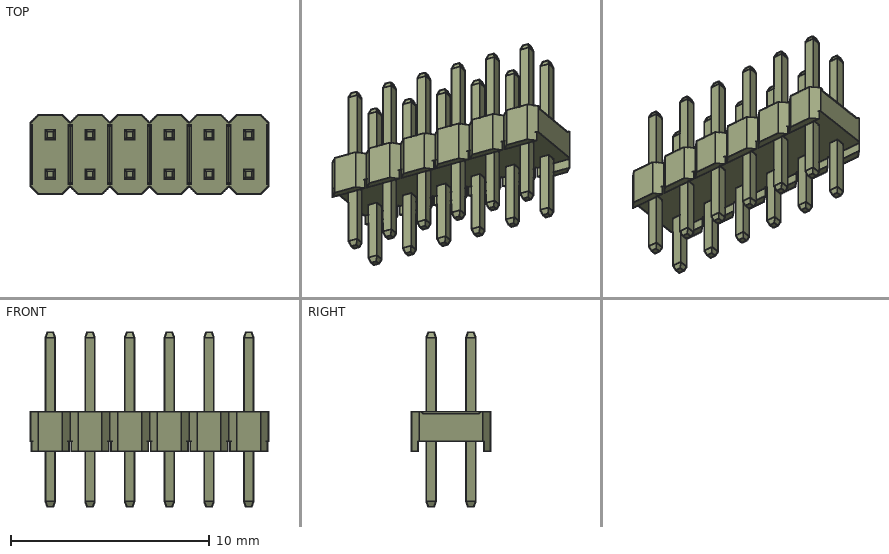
import cadquery as cq


length = 12.0
columns = 6
rows = 2
pitch = length / columns
depth = rows * pitch

housing_height = pitch
corner_cut = pitch / 5
foot_height = pitch / 4
foot_thickness = 0.35

groove_width = pitch / 10
groove_depth = groove_width / 2
groove_length = 3.0

pin_width = pitch / 4
pin_above = 2 * pitch
pin_below = 1.4 * pitch
tip_height = 0.28
tip_width = 0.6 * pin_width

column_positions = [(i - (columns - 1) / 2) * pitch for i in range(columns)]
row_positions = [(j - (rows - 1) / 2) * pitch for j in range(rows)]
column_edges = [(i - columns / 2) * pitch for i in range(columns + 1)]


def make_housing():
    """Row of blocks with cut corners, one per column, joined side by side."""
    row_of_blocks = cq.Workplane("XY")
    for x in column_positions:
        block = (
            cq.Workplane("XY")
            .center(x, 0)
            .rect(pitch, depth)
            .extrude(housing_height)
            .edges("|Z")
            .chamfer(corner_cut)
        )
        row_of_blocks = row_of_blocks.union(block)
    return row_of_blocks


def make_channel():
    """Channel along the underside that leaves a foot at each long side."""
    return cq.Workplane("XY").box(
        length, depth - 2 * foot_thickness, foot_height, centered=(True, True, False)
    )


def make_groove():
    """V-groove along Y with sloping ends, cut down from the top of the housing."""
    half_width = groove_width / 2
    half_length = groove_length / 2
    half_floor = half_length - groove_depth
    floor_z = housing_height - groove_depth
    v_prism = (
        cq.Workplane("XZ")
        .polyline([(-half_width, housing_height), (half_width, housing_height), (0, floor_z)])
        .close()
        .extrude(half_length, both=True)
    )
    sloped_ends = (
        cq.Workplane("YZ")
        .polyline([
            (-half_length, housing_height),
            (half_length, housing_height),
            (half_floor, floor_z),
            (-half_floor, floor_z),
        ])
        .close()
        .extrude(half_width, both=True)
    )
    return v_prism.intersect(sloped_ends)


def make_tip(z_base, z_end):
    """Pyramid frustum from the full pin width at z_base to the blunt end at z_end."""
    return (
        cq.Workplane("XY", origin=(0, 0, z_base))
        .rect(pin_width, pin_width)
        .workplane(offset=z_end - z_base)
        .rect(tip_width, tip_width)
        .loft(ruled=True)
    )


def make_pin():
    """Square pin with a tapered tip at both ends."""
    z_bottom = -pin_below
    z_top = housing_height + pin_above
    shank_bottom = z_bottom + tip_height
    shank_top = z_top - tip_height
    shank = (
        cq.Workplane("XY", origin=(0, 0, shank_bottom))
        .rect(pin_width, pin_width)
        .extrude(shank_top - shank_bottom)
    )
    return shank.union(make_tip(shank_top, z_top)).union(make_tip(shank_bottom, z_bottom))


result = make_housing().cut(make_channel())

groove = make_groove()
for x in column_edges:
    result = result.cut(groove.translate((x, 0, 0)))

pin = make_pin()
for x in column_positions:
    for y in row_positions:
        result = result.union(pin.translate((x, y, 0)))